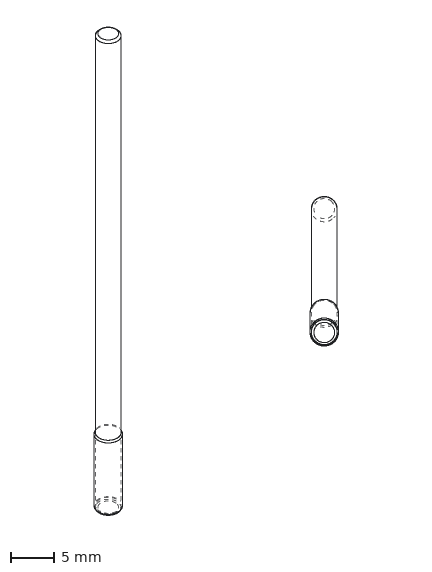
import cadquery as cq

rod_diameter = 3.0
rod_length = 70.0
rod_chamfer = 0.3

sleeve_diameter = 3.32
sleeve_length = 11.09
sleeve_taper = 0.27

rod_radius = rod_diameter / 2
sleeve_radius = sleeve_diameter / 2


def make_rod():
    """Straight rod along Z with both ends chamfered alike."""
    cylinder = cq.Workplane("XY").circle(rod_radius).extrude(rod_length)
    return cylinder.faces("<Z or >Z").chamfer(rod_chamfer)


def make_sleeve():
    """Thin sleeve on the lower end of the rod, tapering down to the rod surface at both of its ends."""
    half_profile = [
        (rod_radius, 0),
        (sleeve_radius, sleeve_taper),
        (sleeve_radius, sleeve_length - sleeve_taper),
        (rod_radius, sleeve_length),
    ]
    return cq.Workplane("XZ").polyline(half_profile).close().revolve(360, (0, 0), (0, 1))


rod = make_rod()
sleeve = make_sleeve()

result = cq.Compound.makeCompound([rod.val(), sleeve.val()])